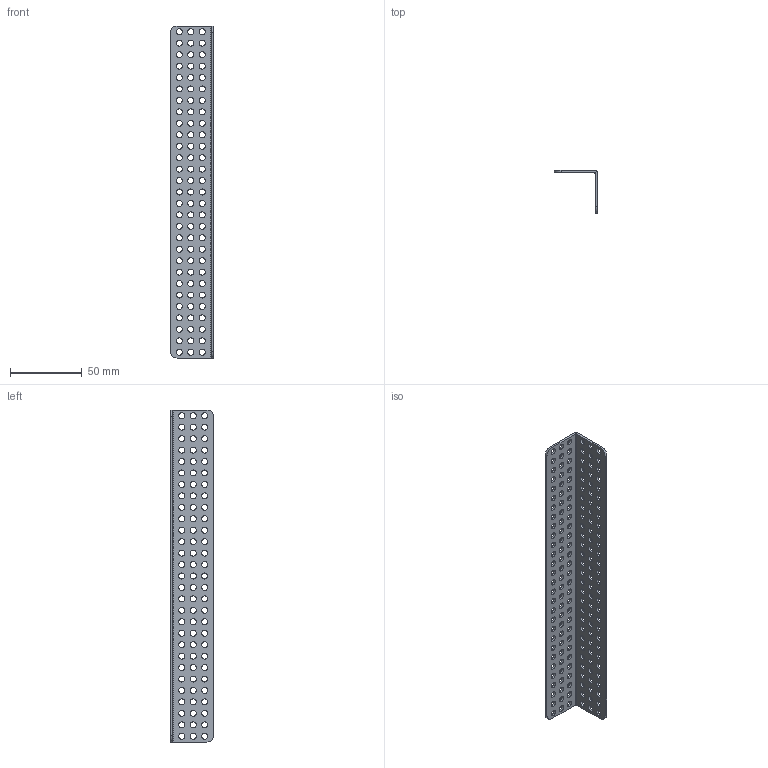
import cadquery as cq

leg_width = 30.3
length = 232.0
thickness = 1.6
inner_bend_radius = 0.6
corner_radius = 4.75

hole_diameter = 4.2
hole_pitch = 8.0
hole_columns = 3
hole_rows = round(length / hole_pitch)
first_column_from_edge = 6.3

outer_bend_radius = inner_bend_radius + thickness
half_width = leg_width / 2
half_length = length / 2
column_center = first_column_from_edge + (hole_columns - 1) * hole_pitch / 2 - half_width


def bent_sheet():
    """L section with the bend at (+X, +Y), extruded along Z and centred on the origin."""
    inner_face = half_width - thickness
    section = (
        cq.Workplane("XY")
        .moveTo(-half_width, half_width)
        .lineTo(half_width - outer_bend_radius, half_width)
        .radiusArc((half_width, half_width - outer_bend_radius), outer_bend_radius)
        .lineTo(half_width, -half_width)
        .lineTo(inner_face, -half_width)
        .lineTo(inner_face, inner_face - inner_bend_radius)
        .radiusArc((inner_face - inner_bend_radius, inner_face), -inner_bend_radius)
        .lineTo(-half_width, inner_face)
        .close()
    )
    return section.extrude(length).translate((0, 0, -half_length))


def round_free_corners(sheet):
    """Round the two free corners of each leg."""
    back_leg_corners = sheet.faces("<X").edges("|Y")
    side_leg_corners = sheet.faces("<Y").edges("|X")
    return back_leg_corners.add(side_leg_corners).fillet(corner_radius)


def perforation(leg_plane):
    """Hole grid for one leg, deep enough to pierce it from a plane through the part's centre."""
    return (
        cq.Workplane(leg_plane)
        .center(column_center, 0)
        .rarray(hole_pitch, hole_pitch, hole_columns, hole_rows)
        .circle(hole_diameter / 2)
        .extrude(half_width)
    )


back_leg_plane = cq.Plane(origin=(0, 0, 0), xDir=(1, 0, 0), normal=(0, 1, 0))
side_leg_plane = cq.Plane(origin=(0, 0, 0), xDir=(0, 1, 0), normal=(1, 0, 0))

result = (
    round_free_corners(bent_sheet())
    .cut(perforation(back_leg_plane))
    .cut(perforation(side_leg_plane))
)